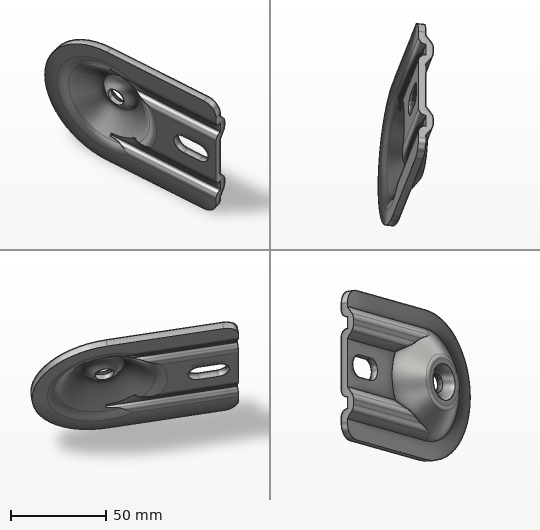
import cadquery as cq
import math

length = 110.0
width = 80.0
depth = 16.0
sheet = depth / 4
nose_radius = width / 2
end_x = length - nose_radius
corner_radius = 8.0

mouth_radius = 32.0
mouth_fillet = 10.0
cone_slope = 36.6
cone_angle = math.radians(cone_slope)
rim_fillet = 4.0
dome_base_radius = 11.3
dome_radius = 14.0
dome_wall = 3.0
hole_diameter = 10.0

channel_outer_lip = 28.6
channel_inner_lip = 14.3
channel_depth = sheet
lip_radius = channel_depth
rib_shoulder_radius = 5.7

slot_length = 22.0
slot_width = 12.0
slot_end_gap = 5.0

cone_start_radius = mouth_radius - mouth_fillet * math.sin(cone_angle)
cone_start_y = mouth_fillet * (1 - math.cos(cone_angle))


def inner_cone_radius(y):
    return cone_start_radius - (y - cone_start_y) / math.tan(cone_angle)


def outer_cone_radius(y):
    return inner_cone_radius(y) + sheet / math.sin(cone_angle)


dome_base_y = cone_start_y + (cone_start_radius - dome_base_radius) * math.tan(cone_angle)
dome_center_y = dome_base_y + math.sqrt(dome_radius**2 - dome_base_radius**2)
dome_top_y = dome_center_y - dome_radius


def revolve_about_y(profile):
    return profile.close().revolve(360, (0, 0, 0), (0, 1, 0))


def extrude_to_end(profile):
    return profile.close().extrude(end_x)


def make_plate():
    nose = cq.Workplane("XZ").circle(nose_radius).extrude(-sheet)
    body = cq.Workplane("XZ").rect(2 * end_x, width).extrude(-sheet)
    body = body.edges("|Y and >X").fillet(corner_radius)
    right_half = cq.Workplane("XY").box(end_x, depth, width, centered=(False, False, True))
    return nose.union(body.intersect(right_half))


def make_cone():
    profile = (
        cq.Workplane("XY")
        .lineTo(outer_cone_radius(sheet), 0)
        .lineTo(outer_cone_radius(sheet), sheet)
        .lineTo(outer_cone_radius(depth), depth)
        .lineTo(0, depth)
    )
    return revolve_about_y(profile).edges(">Y").fillet(rim_fillet)


def make_dish_cavity():
    half_angle = cone_angle / 2
    fillet_mid = (
        mouth_radius - mouth_fillet * math.sin(half_angle),
        mouth_fillet * (1 - math.cos(half_angle)),
    )
    dome_mid_angle = math.asin(dome_base_radius / dome_radius) / 2
    dome_mid = (
        dome_radius * math.sin(dome_mid_angle),
        dome_center_y - dome_radius * math.cos(dome_mid_angle),
    )
    profile = (
        cq.Workplane("XY")
        .lineTo(mouth_radius, 0)
        .threePointArc(fillet_mid, (cone_start_radius, cone_start_y))
        .lineTo(dome_base_radius, dome_base_y)
        .threePointArc(dome_mid, (0, dome_top_y))
    )
    return revolve_about_y(profile)


def make_channel_rib():
    """Raised back of one channel: symmetric, with flanks as steep as the cone and rounded shoulders."""
    back_y = channel_depth + sheet
    center_z = (channel_outer_lip + channel_inner_lip) / 2
    half_base = outer_cone_radius(sheet) - center_z
    shoulder_y = back_y - rib_shoulder_radius * (1 - math.cos(cone_angle))
    half_shoulder = half_base - (shoulder_y - sheet) / math.tan(cone_angle)
    half_top = half_shoulder - rib_shoulder_radius * math.sin(cone_angle)
    profile = (
        cq.Workplane("YZ")
        .moveTo(0, center_z - half_base)
        .lineTo(sheet, center_z - half_base)
        .lineTo(shoulder_y, center_z - half_shoulder)
        .radiusArc((back_y, center_z - half_top), -rib_shoulder_radius)
        .lineTo(back_y, center_z + half_top)
        .radiusArc((shoulder_y, center_z + half_shoulder), -rib_shoulder_radius)
        .lineTo(sheet, center_z + half_base)
        .lineTo(0, center_z + half_base)
    )
    return extrude_to_end(profile)


def make_channel_groove():
    """Front recess of one channel, with rounded lips and sharp floor corners."""
    profile = (
        cq.Workplane("YZ")
        .moveTo(0, channel_inner_lip)
        .radiusArc((channel_depth, channel_inner_lip + lip_radius), lip_radius)
        .lineTo(channel_depth, channel_outer_lip - lip_radius)
        .radiusArc((0, channel_outer_lip), lip_radius)
    )
    return extrude_to_end(profile)


def both_sides(shape):
    return shape.union(shape.mirror("XY"))


def make_slot():
    center_x = end_x - slot_end_gap - slot_length / 2
    return cq.Workplane("XZ").center(center_x, 0).slot2D(slot_length, slot_width).extrude(-sheet)


dome_hollow = cq.Workplane("XY").sphere(dome_radius - dome_wall).translate((0, dome_center_y, 0))
center_hole = cq.Workplane("XZ").circle(hole_diameter / 2).extrude(-depth)

result = (
    make_plate()
    .union(make_cone())
    .union(both_sides(make_channel_rib()))
    .cut(make_dish_cavity())
    .cut(both_sides(make_channel_groove()))
    .cut(dome_hollow)
    .cut(center_hole)
    .cut(make_slot())
)